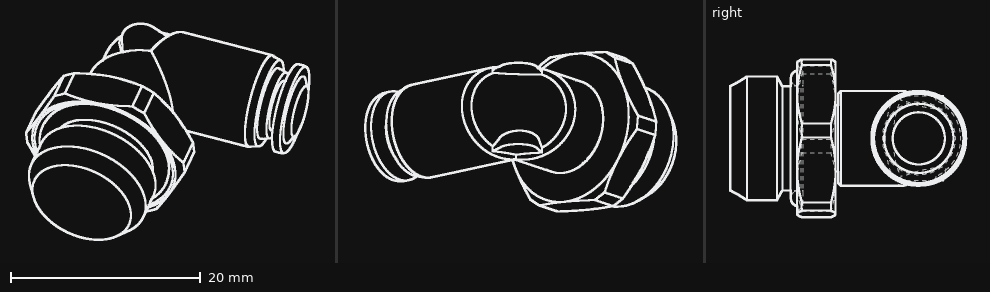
import cadquery as cq
import math


arm_radius = 5.0
core_radius = 4.4
arm_front_at_axis = 1.68
arm_front_tilt = 20.0
bevel_front_at_axis = 1.25
bevel_front_tilt = 18.0

pad_height = 4.45
pad_depth = 1.95
pad_radius = 2.0
pad_centre_offset = 0.55
pad_side_angle = 22.5
pad_side_length = 3.0
pad_inner_corner = 1.5
pad_draft = 15.0

arm_end_x = 13.0
collar_end_x = 13.97
collar_start_radius = 4.95
collar_end_radius = 4.7
boss_end_x = 14.92
boss_start_radius = 3.85
boss_end_radius = 3.6
release_neck_radius = 2.7
flange_start_x = 15.95
flange_fillet = 0.55
flange_rim_x = 16.55
flange_radius = 4.78
flange_end_x = 16.82
flange_end_radius = 4.7
nose_start_radius = 3.65
nose_end_x = 17.4
nose_end_radius = 2.75

body_end_y = -8.5
body_chamfer = 0.3
swivel_neck_radius = 3.5
nut_top_y = -8.75
nut_bottom_y = -12.8
thread_neck_radius = 5.5
thread_start_y = -14.37
thread_full_y = -14.94
thread_radius = 6.53
thread_chamfer_y = -18.08
stem_end_y = -19.85
stem_end_radius = 5.5

nut_sides = 6
nut_across_flats = 16.0
nut_across_corners = 17.64
nut_rotation = 35.4
nut_chamfer_angle = 30.0

seal_outer_radius = 7.17
seal_section_radius = 0.85
seal_bottom_y = -13.48
recess_outer_radius = 7.72
recess_floor_radius = 7.1
recess_depth = 0.6


def slanted_plane(x_at_axis, tilt):
    """Plane crossing the X axis, leaning towards +X as Y grows."""
    angle = math.radians(tilt)
    return cq.Plane(
        origin=(x_at_axis, 0, 0),
        xDir=(math.sin(angle), math.cos(angle), 0),
        normal=(math.cos(angle), -math.sin(angle), 0),
    )


def cylinder_section(radius, x_at_axis, tilt):
    """Ellipse where a slanted plane cuts a cylinder about the X axis."""
    long_radius = radius / math.cos(math.radians(tilt))
    return cq.Workplane(slanted_plane(x_at_axis, tilt)).ellipse(long_radius, radius).val()


def revolve_about_y(profile):
    return cq.Workplane("XY").polyline(profile).close().revolve(360, (0, 0), (0, 1))


def swing_to_stem(solid):
    """Turn a feature of the tube arm (+X) into the matching one on the stem (-Y)."""
    return solid.rotate((0, 0, 0), (1, -1, 0), 180)


def slanted_arm(length, end_chamfer):
    """Arm along +X with a slanted, bevelled front."""
    cylinder = (
        cq.Workplane("YZ").workplane(offset=-arm_radius)
        .circle(arm_radius).extrude(length + arm_radius)
    )
    if end_chamfer:
        cylinder = cylinder.faces(">X").chamfer(end_chamfer)
    block_size = 8 * arm_radius
    front_plane = slanted_plane(arm_front_at_axis, arm_front_tilt)
    behind_front = cq.Workplane(front_plane).rect(block_size, block_size).extrude(-block_size)
    inner_edge = cylinder_section(core_radius, bevel_front_at_axis, bevel_front_tilt)
    outer_edge = cylinder_section(arm_radius, arm_front_at_axis, arm_front_tilt)
    bevel = cq.Solid.makeLoft([inner_edge, outer_edge], True)
    return cylinder.cut(behind_front).union(cq.Workplane(bevel))


def elbow_core():
    """Ball at the bend with a reduced cylinder into each arm."""
    cylinder = cq.Workplane("YZ").circle(core_radius).extrude(arm_radius)
    ball = cq.Workplane("XY").sphere(core_radius)
    return ball.union(cylinder).union(swing_to_stem(cylinder))


def pad():
    """Drop-shaped flat pad on top of the bend, symmetric about the line Y = -X."""
    angle = math.radians(pad_side_angle)
    tangent_x = -pad_centre_offset + pad_radius * math.sin(angle)
    tangent_y = pad_centre_offset + pad_radius * math.cos(angle)
    side_end_x = tangent_x + pad_side_length * math.cos(angle)
    side_end_y = tangent_y - pad_side_length * math.sin(angle)
    tip = pad_centre_offset + pad_radius * math.sqrt(0.5)
    return (
        cq.Workplane("XY").workplane(offset=pad_height)
        .moveTo(side_end_x, side_end_y)
        .lineTo(tangent_x, tangent_y)
        .threePointArc((-tip, tip), (-tangent_y, -tangent_x))
        .lineTo(-side_end_y, -side_end_x)
        .lineTo(pad_inner_corner, -pad_inner_corner)
        .close()
        .extrude(-pad_depth, taper=-pad_draft)
    )


def tube_end():
    """Collar, boss and release ring at the end of the tube arm."""
    fillet_start_x = flange_start_x - flange_fillet
    fillet_top = release_neck_radius + flange_fillet
    fillet_mid = flange_fillet * math.sqrt(0.5)
    return (
        cq.Workplane("XY")
        .moveTo(arm_end_x, 0)
        .lineTo(arm_end_x, collar_start_radius)
        .lineTo(collar_end_x, collar_end_radius)
        .lineTo(collar_end_x, boss_start_radius)
        .lineTo(boss_end_x, boss_end_radius)
        .lineTo(boss_end_x, release_neck_radius)
        .lineTo(fillet_start_x, release_neck_radius)
        .threePointArc(
            (fillet_start_x + fillet_mid, fillet_top - fillet_mid),
            (flange_start_x, fillet_top),
        )
        .lineTo(flange_start_x, flange_radius)
        .lineTo(flange_rim_x, flange_radius)
        .lineTo(flange_end_x, flange_end_radius)
        .lineTo(flange_end_x, nose_start_radius)
        .lineTo(nose_end_x, nose_end_radius)
        .lineTo(nose_end_x, 0)
        .close()
        .revolve(360, (0, 0), (1, 0))
    )


def nut():
    """Hexagon with blunted corners, chamfered on both faces and recessed below."""
    height = nut_top_y - nut_bottom_y

    def hexagon(across_flats, rotation):
        prism = (
            cq.Workplane("XZ", origin=(0, nut_top_y, 0))
            .polygon(nut_sides, across_flats, circumscribed=True)
            .extrude(height)
        )
        return prism.rotate((0, 0, 0), (0, 1, 0), -rotation)

    blunted = hexagon(nut_across_flats, nut_rotation).intersect(
        hexagon(nut_across_corners, nut_rotation + 180 / nut_sides)
    )
    face_radius = nut_across_flats / 2
    outer_radius = nut_across_flats / 2 / math.cos(math.pi / nut_sides)
    drop = (outer_radius - face_radius) * math.tan(math.radians(nut_chamfer_angle))
    envelope = revolve_about_y([
        (0, nut_top_y),
        (face_radius, nut_top_y),
        (outer_radius, nut_top_y - drop),
        (outer_radius, nut_bottom_y + drop),
        (face_radius, nut_bottom_y),
        (0, nut_bottom_y),
    ])
    recess = revolve_about_y([
        (0, nut_bottom_y),
        (recess_outer_radius, nut_bottom_y),
        (recess_floor_radius, nut_bottom_y + recess_depth),
        (0, nut_bottom_y + recess_depth),
    ])
    return blunted.intersect(envelope).cut(recess)


def stem():
    """Swivel neck and threaded end, from inside the elbow down to the stem face."""
    nut_middle_y = (nut_top_y + nut_bottom_y) / 2
    return revolve_about_y([
        (0, body_end_y + body_chamfer),
        (swivel_neck_radius, body_end_y + body_chamfer),
        (swivel_neck_radius, nut_middle_y),
        (thread_neck_radius, nut_middle_y),
        (thread_neck_radius, thread_start_y),
        (thread_radius, thread_full_y),
        (thread_radius, thread_chamfer_y),
        (stem_end_radius, stem_end_y),
        (0, stem_end_y),
    ])


def seal_ring():
    """Round-section ring around the thread neck, partly sunk in the nut recess."""
    centre_radius = seal_outer_radius - seal_section_radius
    centre_y = seal_bottom_y + seal_section_radius
    return (
        cq.Workplane("XY").center(centre_radius, centre_y).circle(seal_section_radius)
        .revolve(360, (-centre_radius, 0), (-centre_radius, 1))
    )


tube_arm = slanted_arm(arm_end_x, 0)
stem_arm = swing_to_stem(slanted_arm(-body_end_y, body_chamfer))
top_pad = pad()
bottom_pad = top_pad.mirror("XY")

result = tube_arm
for feature in (stem_arm, elbow_core(), top_pad, bottom_pad, tube_end(), nut(), stem(), seal_ring()):
    result = result.union(feature)